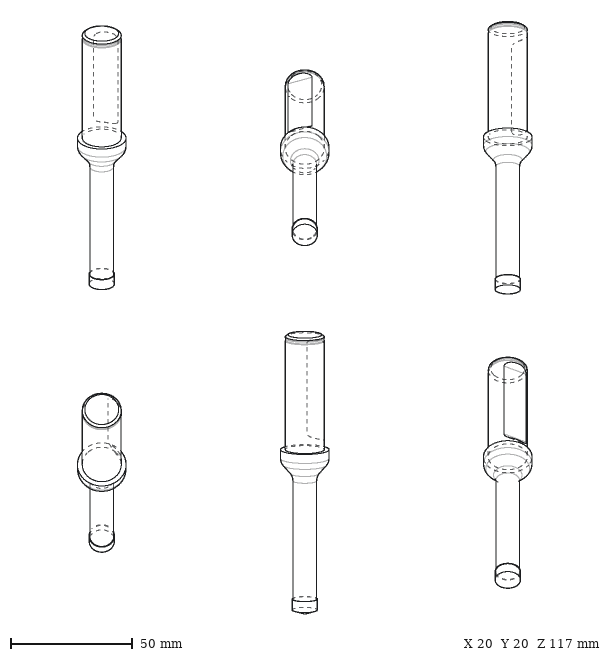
import cadquery as cq
import math

total_length = 117.0

tip_diameter = 10.4
tip_height = 6.3
point_height = 1.8

shaft_diameter = 9.8
collar_diameter = 20.0
shank_diameter = 16.0
neck_bottom_z = 55.8
taper_bottom_z = 58.9
taper_bottom_radius = 5.8
collar_bottom_z = 65.2
collar_top_z = 68.9
taper_angle = math.radians(41)

end_chamfer_width = 1.0
end_chamfer_height = 0.8
groove_top_z = 115.8
groove_bottom_z = 114.4
groove_side_height = 0.4
groove_depth = 0.09

flat_depth = 1.9
flat_bottom_z = 72.1
flat_top_z = 113.7
flat_corner_radius = 2.3

tip_radius = tip_diameter / 2
shaft_radius = shaft_diameter / 2
collar_radius = collar_diameter / 2
shank_radius = shank_diameter / 2


def make_tip():
    return (
        cq.Workplane("XZ")
        .moveTo(0, 0)
        .lineTo(tip_radius, point_height)
        .lineTo(tip_radius, tip_height)
        .lineTo(0, tip_height)
        .close()
        .revolve(360, (0, 0), (0, 1))
    )


def make_holder_blank():
    """Revolved shaft, neck, rounded taper, collar and shank."""
    taper_run = collar_radius - taper_bottom_radius
    taper_rise = collar_bottom_z - taper_bottom_z
    round_radius = (
        (taper_rise * math.sin(taper_angle) - taper_run * math.cos(taper_angle))
        / (1 - math.cos(taper_angle))
    )
    round_center_r = collar_radius - round_radius
    round_end = (
        round_center_r + round_radius * math.cos(taper_angle),
        collar_bottom_z - round_radius * math.sin(taper_angle),
    )
    round_middle = (
        round_center_r + round_radius * math.cos(taper_angle / 2),
        collar_bottom_z - round_radius * math.sin(taper_angle / 2),
    )
    return (
        cq.Workplane("XZ")
        .moveTo(0, tip_height)
        .lineTo(shaft_radius, tip_height)
        .lineTo(shaft_radius, neck_bottom_z)
        .tangentArcPoint((taper_bottom_radius, taper_bottom_z), relative=False)
        .lineTo(*round_end)
        .threePointArc(round_middle, (collar_radius, collar_bottom_z))
        .lineTo(collar_radius, collar_top_z)
        .lineTo(shank_radius, collar_top_z)
        .lineTo(shank_radius, total_length - end_chamfer_height)
        .lineTo(shank_radius - end_chamfer_width, total_length)
        .lineTo(0, total_length)
        .close()
        .revolve(360, (0, 0), (0, 1))
    )


def make_ring_groove():
    """Ring with sloping sides, to be cut from the shank."""
    groove_floor_radius = shank_radius - groove_depth
    return (
        cq.Workplane("XZ")
        .moveTo(shank_radius, groove_bottom_z)
        .lineTo(groove_floor_radius, groove_bottom_z + groove_side_height)
        .lineTo(groove_floor_radius, groove_top_z - groove_side_height)
        .lineTo(shank_radius, groove_top_z)
        .close()
        .revolve(360, (0, 0), (0, 1))
    )


def make_flat_cutter():
    """Block that leaves a flat with rounded inner corners at both ends."""
    return (
        cq.Workplane("XY", origin=(0, shank_radius - flat_depth, flat_bottom_z))
        .box(
            shank_diameter,
            shank_diameter,
            flat_top_z - flat_bottom_z,
            centered=(True, False, False),
        )
        .edges("|X and <Y")
        .fillet(flat_corner_radius)
    )


tip = make_tip()
holder = make_holder_blank().cut(make_ring_groove()).cut(make_flat_cutter())

result = cq.Compound.makeCompound([holder.val(), tip.val()])